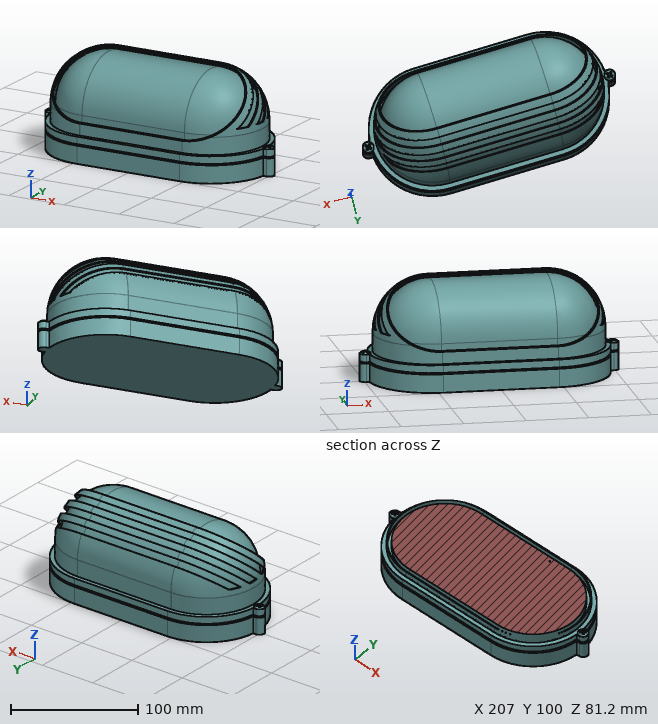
import cadquery as cq
import math

LENGTH = 207.0
STRAIGHT = 93.0
HALF_STRAIGHT = STRAIGHT / 2
FAR = LENGTH

BASE_WIDTH = 100.0
BASE_RADIUS = BASE_WIDTH / 2
BASE_TOP = 22.4
GROOVE_BOTTOM = 15.0
GROOVE_TOP = 16.1
GROOVE_DEPTH = 0.6

EAR_RADIUS = 4.5
EAR_X = LENGTH / 2 - EAR_RADIUS
HEAD_RADIUS = 4.3
HEAD_HEIGHT = 2.0
HEAD_TOP = BASE_TOP + HEAD_HEIGHT
HEAD_BALL_RADIUS = (HEAD_RADIUS**2 + HEAD_HEIGHT**2) / (2 * HEAD_HEIGHT)
RECESS_LENGTH = 5.0
RECESS_WIDTH = 1.2
RECESS_DEPTH = 1.2

GLASS_RADIUS = 42.0
GLASS_SPRING = 37.9
GUARD_RADIUS = 46.0
GUARD_WALL = 1.0
GUARD_SPRING = 37.0

SLOPE = math.radians(40)
OPENING_OFFSET = 25.7
RIB_WIDTH = 6.0
SLOT_COUNT = 3
SLOT_FLOOR = 42.0


def oval(radius, bottom, top):
    """Upright prism with two straight sides and two half-round ends."""
    outline = cq.Workplane("XY").workplane(offset=bottom).slot2D(STRAIGHT + 2 * radius, 2 * radius)
    return outline.extrude(top - bottom)


def domed_oval(radius, bottom, spring):
    """Oval prism closed by a half-cylinder vault with a ball at each end."""
    vault = cq.Workplane("YZ").workplane(offset=-HALF_STRAIGHT).center(0, spring)
    vault = vault.moveTo(radius, 0).threePointArc((0, radius), (-radius, 0)).close().extrude(STRAIGHT)
    quarter_ball = cq.Workplane("XY").sphere(radius, angle1=0, angle2=90, angle3=180)
    for side, turn in ((-1, 90), (1, -90)):
        end = quarter_ball.rotate((0, 0, 0), (0, 0, 1), turn)
        vault = vault.union(end.translate((side * HALF_STRAIGHT, 0, spring)))
    return oval(radius, bottom, spring).union(vault)


def slope_y(offset, z):
    """Y, at height z, of the sloping plane at this distance from the guard's centre line."""
    return ((z - GUARD_SPRING) * math.cos(SLOPE) - offset) / math.sin(SLOPE)


def sloping_cutter(lower_offset, upper_offset, floor):
    """Material between two sloping planes above a flat floor, running the whole length."""
    top = floor + FAR
    corners = [
        (slope_y(lower_offset, floor), floor),
        (slope_y(lower_offset, top), top),
        (slope_y(upper_offset, top), top),
        (slope_y(upper_offset, floor), floor),
    ]
    return cq.Workplane("YZ").polyline(corners).close().extrude(FAR, both=True)


def make_guard():
    guard = domed_oval(GUARD_RADIUS, BASE_TOP, GUARD_SPRING)
    guard = guard.cut(domed_oval(GUARD_RADIUS - GUARD_WALL, BASE_TOP, GUARD_SPRING))
    guard = guard.cut(sloping_cutter(OPENING_OFFSET, OPENING_OFFSET + FAR, BASE_TOP))
    for slot in range(SLOT_COUNT):
        upper_offset = OPENING_OFFSET - (2 * slot + 1) * RIB_WIDTH
        guard = guard.cut(sloping_cutter(upper_offset - RIB_WIDTH, upper_offset, SLOT_FLOOR))
    return guard


def base_layer(inset, bottom, top):
    """One slice of the base with its two ears, drawn in all round by the inset."""
    ears = cq.Workplane("XY").workplane(offset=bottom)
    ears = ears.slot2D(LENGTH - 2 * inset, 2 * (EAR_RADIUS - inset)).extrude(top - bottom)
    return oval(BASE_RADIUS - inset, bottom, top).union(ears)


def make_base():
    base = base_layer(0, 0, GROOVE_BOTTOM)
    base = base.union(base_layer(GROOVE_DEPTH, GROOVE_BOTTOM, GROOVE_TOP))
    return base.union(base_layer(0, GROOVE_TOP, BASE_TOP))


def make_screw_head():
    """Rounded head with a cross recess, centred on the Z axis."""
    shoulder_radius = HEAD_RADIUS / 2
    ball_centre = HEAD_TOP - HEAD_BALL_RADIUS
    shoulder = (shoulder_radius, ball_centre + math.sqrt(HEAD_BALL_RADIUS**2 - shoulder_radius**2))
    head = cq.Workplane("XZ").moveTo(0, BASE_TOP).lineTo(HEAD_RADIUS, BASE_TOP)
    head = head.threePointArc(shoulder, (0, HEAD_TOP)).close().revolve(360, (0, 0), (0, 1))
    for angle in (45, 135):
        arm = cq.Workplane("XY").workplane(offset=HEAD_TOP - RECESS_DEPTH)
        arm = arm.transformed(rotate=(0, 0, angle)).rect(RECESS_LENGTH, RECESS_WIDTH)
        head = head.cut(arm.extrude(2 * RECESS_DEPTH))
    return head


result = make_base()
result = result.union(domed_oval(GLASS_RADIUS, BASE_TOP, GLASS_SPRING))
result = result.union(make_guard())
for ear_x in (-EAR_X, EAR_X):
    result = result.union(make_screw_head().translate((ear_x, 0, 0)))